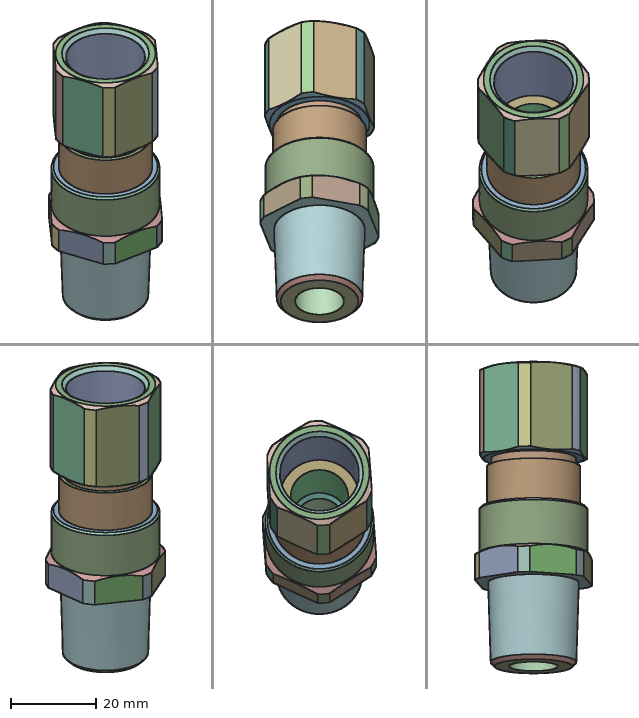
import cadquery as cq
import math

male_thread_length = 20.0
wrench_hex_height = 7.0
collar_height = 11.0
sleeve_length = 9.75
neck_gap = 2.0
nut_length = 21.0

hex_base = male_thread_length
hex_top = hex_base + wrench_hex_height
collar_top = hex_top + collar_height
sleeve_top = collar_top + sleeve_length
nut_base = sleeve_top + neck_gap
nut_top = nut_base + nut_length

taper_ratio = 1 / 16
taper_large_diameter = 21.4
tip_chamfer = 1.0

wrench_across_flats = 26.0
wrench_corner_diameter = 28.5
wrench_chamfer_angle = 30.0
collar_diameter = 25.5
collar_chamfer = 0.5
sleeve_diameter = 22.0
body_bore_diameter = 11.5

nut_across_flats = 24.0
nut_corner_diameter = 26.2
nut_face_diameter = 23.5
nut_chamfer_angle = 21.0
spigot_diameter = 20.0
spigot_bore_diameter = 13.6
socket_diameter = 18.6
socket_mouth_diameter = 20.5
socket_depth = 17.0


def revolve_profile(points):
    """Solid of revolution about Z from a closed outline of (radius, height) points."""
    return cq.Workplane("XZ").polyline(points).close().revolve(360, (0, 0), (0, 1))


def hex_prism(across_flats, base, height):
    """Hexagonal prism with flats facing +X and -X and corners on the Y axis."""
    across_corners = across_flats / math.cos(math.pi / 6)
    prism = cq.Workplane("XY").polygon(6, across_corners).extrude(height)
    return prism.rotate((0, 0, 0), (0, 0, 1), 90).translate((0, 0, base))


def cylinder(diameter, base, height):
    return cq.Workplane("XY", origin=(0, 0, base)).circle(diameter / 2).extrude(height)


def corner_drop(corner_diameter, face_diameter, angle):
    """Height of a conical hexagon chamfer between its end face and the corners."""
    return (corner_diameter - face_diameter) / 2 * math.tan(math.radians(angle))


def make_tapered_end():
    tip_radius = (taper_large_diameter - taper_ratio * (male_thread_length - tip_chamfer)) / 2
    return revolve_profile([
        (0, 0),
        (tip_radius - tip_chamfer, 0),
        (tip_radius, tip_chamfer),
        (taper_large_diameter / 2, hex_base),
        (0, hex_base),
    ])


def make_wrench_hex():
    """Hexagon with rounded corners, chamfered on top down from the collar."""
    corner_radius = wrench_corner_diameter / 2
    drop = corner_drop(wrench_corner_diameter, collar_diameter, wrench_chamfer_angle)
    envelope = revolve_profile([
        (0, hex_base),
        (corner_radius, hex_base),
        (corner_radius, hex_top - drop),
        (collar_diameter / 2, hex_top),
        (0, hex_top),
    ])
    return hex_prism(wrench_across_flats, hex_base, wrench_hex_height).intersect(envelope)


def make_body():
    collar = cylinder(collar_diameter, hex_top, collar_height)
    collar = collar.faces(">Z").chamfer(collar_chamfer)
    sleeve = cylinder(sleeve_diameter, collar_top, sleeve_length)
    outside = make_tapered_end().union(make_wrench_hex()).union(collar).union(sleeve)

    spigot_recess = cylinder(spigot_diameter, collar_top, sleeve_length)
    countersink_depth = (spigot_bore_diameter - body_bore_diameter) / 2
    bore = revolve_profile([
        (0, 0),
        (body_bore_diameter / 2, 0),
        (body_bore_diameter / 2, collar_top - countersink_depth),
        (spigot_bore_diameter / 2, collar_top),
        (0, collar_top),
    ])
    return outside.cut(spigot_recess).cut(bore)


def make_nut():
    corner_radius = nut_corner_diameter / 2
    face_radius = nut_face_diameter / 2
    drop = corner_drop(nut_corner_diameter, nut_face_diameter, nut_chamfer_angle)
    envelope = revolve_profile([
        (0, nut_base),
        (face_radius, nut_base),
        (corner_radius, nut_base + drop),
        (corner_radius, nut_top - drop),
        (face_radius, nut_top),
        (0, nut_top),
    ])
    hexagon = hex_prism(nut_across_flats, nut_base, nut_length).intersect(envelope)
    spigot = cylinder(spigot_diameter, collar_top, nut_base - collar_top)

    socket_floor = nut_top - socket_depth
    mouth_chamfer = (socket_mouth_diameter - socket_diameter) / 2
    bore = revolve_profile([
        (0, collar_top),
        (spigot_bore_diameter / 2, collar_top),
        (spigot_bore_diameter / 2, socket_floor),
        (socket_diameter / 2, socket_floor),
        (socket_diameter / 2, nut_top - mouth_chamfer),
        (socket_mouth_diameter / 2, nut_top),
        (0, nut_top),
    ])
    return hexagon.union(spigot).cut(bore)


body = make_body()
nut = make_nut()

result = cq.Compound.makeCompound([body.val(), nut.val()])